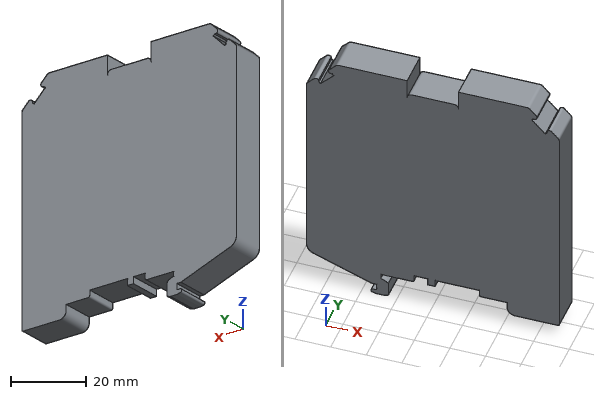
import cadquery as cq
import math

width = 71.0
thickness = 10.2
height = 75.8
half_width = width / 2

bevel = 8.65
bevel_edge_radius = 1.1
groove_depth = 2.1
groove_half_length = 2.65
lip_wall = 0.6
lip_tip_inset = 0.3
lip_overhang = 0.4
lip_tip_depth = 1.0
lip_arc_bulge = 0.1
lip_arc_depth = 0.4

notch_half_width = 7.2
notch_depth = 5.8
floor_depth = 4.55
floor_edge_run = 1.2

base_z = 3.0
rail_z = 7.0
recess_z = 9.0
recess_left = -5.2
recess_right = 13.0
recess_edge_radius = 0.6
rib_left = -1.45
rib_width = 2.05
foot_left = 20.85
foot_radius = 2.3
base_corner_radius = 0.45

side_bottom_z = 9.8
slope_end = (-17.1, 3.2)
side_corner_radius = 3.0
hook_neck_x = -15.8
hook_right = -12.5
hook_throat_x = -14.6
hook_throat_z = 5.6
hook_shoulder = (-13.2, 5.0)
hook_shoulder_end_z = 4.5
hook_finger_top = 1.4
hook_finger_bottom = 0.2
hook_finger_x = -16.8
hook_bottom_left = -15.9
hook_bottom_right = -13.65
hook_corner_z = 0.4
hook_neck_radius = 0.4
finger_radius = (hook_finger_top - hook_finger_bottom) / 2
finger_tip = (hook_finger_x - finger_radius, hook_finger_bottom + finger_radius)


def extrude(outline):
    """Close an XZ outline and extrude it, centred on Y."""
    return outline.close().extrude(thickness / 2, both=True)


def block(left, right, bottom, top):
    corners = [(left, bottom), (right, bottom), (right, top), (left, top)]
    return extrude(cq.Workplane("XZ").polyline(corners))


def make_body():
    return extrude(
        cq.Workplane("XZ")
        .moveTo(-half_width, side_bottom_z)
        .lineTo(-half_width, height - bevel)
        .lineTo(-half_width + bevel, height)
        .lineTo(half_width - bevel, height)
        .lineTo(half_width, height - bevel)
        .lineTo(half_width, base_z)
        .lineTo(foot_left, base_z)
        .lineTo(foot_left, rail_z)
        .lineTo(hook_throat_x, rail_z)
        .lineTo(hook_throat_x, hook_throat_z)
        .lineTo(*hook_shoulder)
        .lineTo(hook_right, hook_shoulder_end_z)
        .lineTo(hook_right, hook_corner_z)
        .lineTo(hook_bottom_right, 0)
        .lineTo(hook_bottom_left, 0)
        .lineTo(hook_finger_x, hook_finger_bottom)
        .threePointArc(finger_tip, (hook_finger_x, hook_finger_top))
        .lineTo(hook_neck_x, hook_finger_top)
        .lineTo(hook_neck_x, slope_end[1])
        .lineTo(*slope_end)
    )


def fillet_edge(solid, x, z, radius):
    """Round the edge running along Y through (x, z)."""
    edge = cq.selectors.NearestToPointSelector((x, 0, z))
    return solid.edges("|Y").edges(edge).fillet(radius)


def make_marker_groove():
    """Hooked groove across the left bevel, symmetric about the bevel centre."""
    slant = math.sqrt(0.5)
    bevel_plane = cq.Plane(
        origin=(-half_width + bevel / 2, 0, height - bevel / 2),
        xDir=(slant, 0, slant),
        normal=(0, -1, 0),
    )
    wall_top = lip_wall - groove_depth
    mouth = groove_half_length - lip_overhang
    tip_start = groove_half_length + lip_tip_inset
    return extrude(
        cq.Workplane(bevel_plane)
        .moveTo(-groove_half_length, -groove_depth)
        .lineTo(groove_half_length, -groove_depth)
        .lineTo(groove_half_length, wall_top)
        .lineTo(mouth, -lip_tip_depth)
        .threePointArc((mouth + lip_arc_bulge, -lip_arc_depth), (tip_start, 0))
        .lineTo(-tip_start, 0)
        .threePointArc((-mouth - lip_arc_bulge, -lip_arc_depth), (-mouth, -lip_tip_depth))
        .lineTo(-groove_half_length, wall_top)
    )


def make_top_notch():
    floor_half_width = notch_half_width - floor_edge_run
    edge_drop = notch_depth - floor_depth
    arc_x = notch_half_width - floor_edge_run * (1 - math.sqrt(0.5))
    arc_z = height - floor_depth - edge_drop * (1 - math.sqrt(0.5))
    return extrude(
        cq.Workplane("XZ")
        .moveTo(-notch_half_width, height)
        .lineTo(-notch_half_width, height - notch_depth)
        .threePointArc((-arc_x, arc_z), (-floor_half_width, height - floor_depth))
        .lineTo(floor_half_width, height - floor_depth)
        .threePointArc((arc_x, arc_z), (notch_half_width, height - notch_depth))
        .lineTo(notch_half_width, height)
    )


body = make_body()
body = fillet_edge(body, -half_width, side_bottom_z, side_corner_radius)
body = fillet_edge(body, foot_left, base_z, foot_radius)
body = fillet_edge(body, half_width, base_z, base_corner_radius)
body = fillet_edge(body, hook_neck_x, hook_finger_top, hook_neck_radius)
for side in (-1, 1):
    body = fillet_edge(body, side * half_width, height - bevel, bevel_edge_radius)
    body = fillet_edge(body, side * (half_width - bevel), height, bevel_edge_radius)

groove = make_marker_groove()
body = body.cut(groove).cut(groove.mirror("YZ")).cut(make_top_notch())

body = body.cut(block(recess_left, recess_right, rail_z, recess_z))
for recess_side in (recess_left, recess_right):
    body = fillet_edge(body, recess_side, rail_z, recess_edge_radius)
result = body.union(block(rib_left, rib_left + rib_width, rail_z, recess_z))